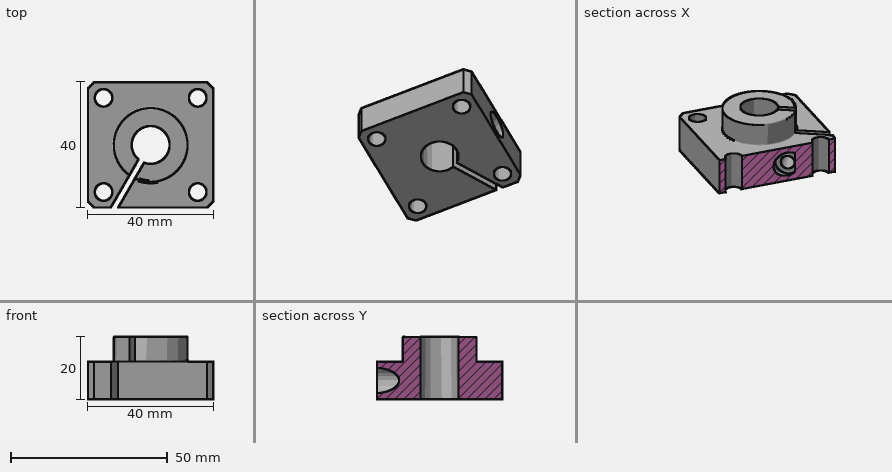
import cadquery as cq
import math

plate_side = 40
plate_thickness = 12
corner_chamfer = 2
mount_hole_pitch = 30
mount_hole_diameter = 5.5

total_height = 20
boss_diameter = 23.5
boss_fillet = 0.5
bore_diameter = 12

slit_width = 2
slit_angle = 30

screw_radius_from_bore = 10.5
head_diameter = 8
clearance_diameter = 4.5
thread_diameter = 3.25
head_seat_distance = 10
thread_end_distance = 10

slit_radians = math.radians(slit_angle)
slit_direction = cq.Vector(-math.sin(slit_radians), -math.cos(slit_radians), 0)
screw_direction = cq.Vector(math.cos(slit_radians), -math.sin(slit_radians), 0)


def make_plate():
    plate = cq.Workplane("XY").box(plate_side, plate_side, plate_thickness, centered=(True, True, False))
    plate = plate.edges("|Z").chamfer(corner_chamfer)
    return (
        plate.faces(">Z").workplane()
        .rect(mount_hole_pitch, mount_hole_pitch, forConstruction=True)
        .vertices().hole(mount_hole_diameter)
    )


def add_boss(plate):
    """Add the boss with a rounded rim and root, then bore it through."""
    body = plate.faces(">Z").workplane().circle(boss_diameter / 2).extrude(total_height - plate_thickness)
    body = body.faces(">Z").edges().fillet(boss_fillet)
    body = body.edges("%CIRCLE").edges(cq.selectors.NearestToPointSelector((0, 0, plate_thickness)))
    body = body.fillet(boss_fillet)
    return body.faces(">Z").workplane().hole(bore_diameter)


def slit_cutter():
    slit = cq.Workplane("XY").box(slit_width, plate_side, total_height, centered=(True, False, False))
    return slit.rotate((0, 0, 0), (0, 0, 1), 180 - slit_angle)


def screw_cylinder(diameter, start, end):
    """Cylinder on the screw axis between two distances from the slit centre plane."""
    axis_point = slit_direction * screw_radius_from_bore + cq.Vector(0, 0, plate_thickness / 2)
    origin = axis_point + screw_direction * start
    return cq.Workplane(cq.Solid.makeCylinder(diameter / 2, end - start, origin, screw_direction))


result = add_boss(make_plate())
result = result.cut(slit_cutter())
result = result.cut(screw_cylinder(head_diameter, -plate_side, -head_seat_distance))
result = result.cut(screw_cylinder(clearance_diameter, -head_seat_distance, 0))
result = result.cut(screw_cylinder(thread_diameter, 0, thread_end_distance))